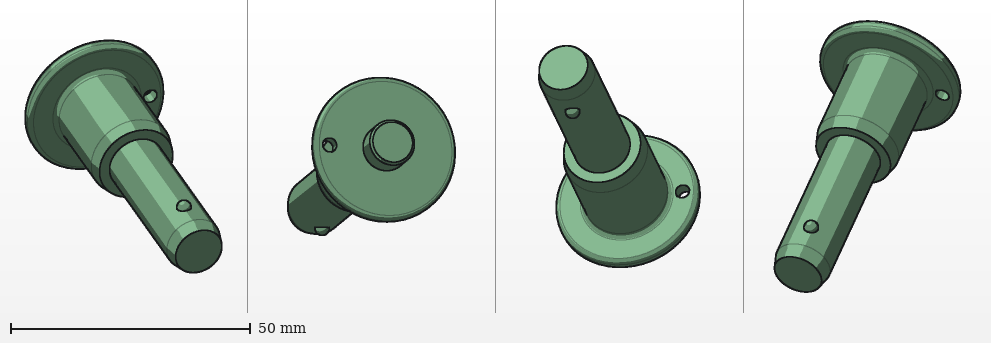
import cadquery as cq

total_length = 66.0
button_length = 6.0
flange_thickness = 3.0
handle_length = 22.0
handle_taper_length = 3.0
tip_taper_length = 3.1

button_radius = 4.8
flange_radius = 15.3
handle_radius = 9.0
handle_end_radius = 8.25
shank_radius = 6.0
tip_radius = 5.2

button_chamfer = 0.5
flange_rounding = 1.0
handle_fillet = 1.0

lanyard_hole_diameter = 3.0
lanyard_hole_offset = 12.0

ball_radius = 1.5
ball_reach = 7.4
ball_end_distance = 8.3

x_start = -total_length / 2
x_end = total_length / 2
flange_back = x_start + button_length
flange_front = flange_back + flange_thickness
handle_end = flange_front + handle_length
ball_x = x_end - ball_end_distance
ball_offset = ball_reach - ball_radius


def make_ball(side):
    """Locking ball; side is +1 for the upper ball and -1 for the lower one."""
    return cq.Workplane("XY").sphere(ball_radius).translate((ball_x, 0, side * ball_offset))


def make_pin_profile():
    """Half section of the button, flange, handle and shank."""
    return (
        cq.Workplane("XZ")
        .moveTo(x_start, 0)
        .lineTo(x_start, button_radius - button_chamfer)
        .lineTo(x_start + button_chamfer, button_radius)
        .lineTo(flange_back, button_radius)
        .lineTo(flange_back, flange_radius - flange_rounding)
        .radiusArc((flange_back + flange_rounding, flange_radius), flange_rounding)
        .lineTo(flange_front - flange_rounding, flange_radius)
        .radiusArc((flange_front, flange_radius - flange_rounding), flange_rounding)
        .lineTo(flange_front, handle_radius + handle_fillet)
        .radiusArc((flange_front + handle_fillet, handle_radius), -handle_fillet)
        .lineTo(handle_end - handle_taper_length, handle_radius)
        .lineTo(handle_end, handle_end_radius)
        .lineTo(handle_end, shank_radius)
        .lineTo(x_end - tip_taper_length, shank_radius)
        .lineTo(x_end, tip_radius)
        .lineTo(x_end, 0)
        .close()
    )


def make_pin(balls):
    """Turned pin with its lanyard hole and a matching seat for each ball."""
    pin = make_pin_profile().revolve(360, (0, 0, 0), (1, 0, 0))
    lanyard_hole = (
        cq.Workplane("YZ", origin=(flange_back, 0, 0))
        .center(lanyard_hole_offset, 0)
        .circle(lanyard_hole_diameter / 2)
        .extrude(flange_thickness)
    )
    pin = pin.cut(lanyard_hole)
    for ball in balls:
        pin = pin.cut(ball)
    return pin


balls = [make_ball(side) for side in (1, -1)]
pin = make_pin(balls)

result = cq.Compound.makeCompound([pin.val(), *[ball.val() for ball in balls]])